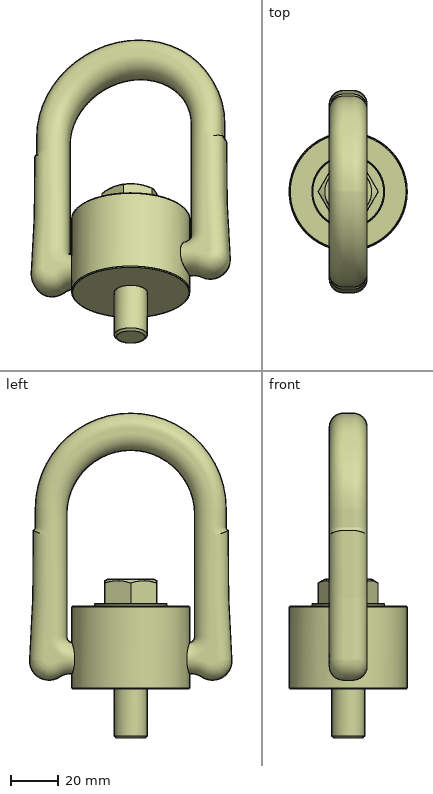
import cadquery as cq
import math

total_height = 137.2

body_radius = 25.0
body_height = 35.0
body_top_chamfer = 0.5
body_bottom_chamfer = 0.4

stud_radius = 7.0
stud_length = 20.9
stud_chamfer = 1.0
washer_radius = 15.4
washer_height = 1.1
washer_chamfer = 0.4
head_flats = 22.0
head_height = 10.2
head_top_radius = 9.9
head_chamfer_angle = math.radians(30)
socket_flats = 10.0
socket_depth = 4.5

ring_width = 16.0
ring_span = 85.5
outer_rounding = 6.0
inner_rounding = 6.9
outer_radius = 40.3
inner_radius = 26.9
ring_top_z = total_height - stud_length
outer_centre_z = ring_top_z - outer_radius
inner_centre_z = 73.7

flare_height = 1.4
leg_top_y = 41.2
leg_top_z = 66.8
knee_z = 38.4
leg_lean = math.radians(2.9)

heel_radius = 8.2
heel_y = ring_span / 2 - heel_radius
heel_z = 11.8
arm_top_z = 19.5
arm_bottom_z = 6.3
arm_end_y = 16.5
crook_radius = 2.5
sole_radius = 8.6

margin = 0.1


def hexagon(flats, height, base_z):
    """Hexagonal prism with two corners on the X axis."""
    corners = flats / math.cos(math.radians(30))
    return cq.Workplane("XY").workplane(offset=base_z).polygon(6, corners).extrude(height)


def make_body():
    drum = cq.Workplane("XY").circle(body_radius).extrude(body_height)
    return drum.faces(">Z").chamfer(body_top_chamfer).faces("<Z").chamfer(body_bottom_chamfer)


def make_bolt():
    stud = cq.Workplane("XY").circle(stud_radius).extrude(-stud_length)
    stud = stud.faces("<Z").chamfer(stud_chamfer)

    washer = cq.Workplane("XY").workplane(offset=body_height).circle(washer_radius).extrude(washer_height)
    washer = washer.faces(">Z").chamfer(washer_chamfer)

    head_base = body_height + washer_height
    head_top = head_base + head_height
    head = hexagon(head_flats, head_height, head_base)
    cone_radius = head_top_radius + head_height / math.tan(head_chamfer_angle)
    cone = (
        cq.Workplane("XZ")
        .polyline([(0, head_base), (cone_radius, head_base), (head_top_radius, head_top), (0, head_top)])
        .close()
        .revolve(360, (0, 0, 0), (0, 1, 0))
    )
    head = head.intersect(cone).cut(hexagon(socket_flats, socket_depth, head_top - socket_depth))
    return stud.union(washer).union(head)


def point_on_circle(centre, radius, angle):
    return (centre[0] + radius * math.cos(angle), centre[1] + radius * math.sin(angle))


def half_ring_outline():
    """Closed YZ outline of the ring on the +Y side."""
    heel_centre = (heel_y, heel_z)
    heel_start = point_on_circle(heel_centre, heel_radius, leg_lean)
    knee_y = heel_start[0] - (knee_z - heel_start[1]) * math.tan(leg_lean)

    sole_centre_z = arm_bottom_z - sole_radius
    centre_distance = heel_radius + sole_radius
    sole_angle = math.asin((heel_z - sole_centre_z) / centre_distance)
    sole_centre = (heel_y - centre_distance * math.cos(sole_angle), sole_centre_z)
    heel_end = point_on_circle(sole_centre, sole_radius, sole_angle)
    sole_end = (sole_centre[0], arm_bottom_z)

    return (
        cq.Workplane("YZ")
        .moveTo(0, ring_top_z)
        .threePointArc(
            point_on_circle((0, outer_centre_z), outer_radius, math.pi / 4),
            (outer_radius, outer_centre_z),
        )
        .lineTo(outer_radius, leg_top_z + flare_height)
        .tangentArcPoint((leg_top_y, leg_top_z), relative=False)
        .lineTo(knee_y, knee_z)
        .lineTo(*heel_start)
        .tangentArcPoint(heel_end, relative=False)
        .tangentArcPoint(sole_end, relative=False)
        .lineTo(arm_end_y, arm_bottom_z)
        .lineTo(arm_end_y, arm_top_z)
        .lineTo(inner_radius - crook_radius, arm_top_z)
        .tangentArcPoint((inner_radius, arm_top_z + crook_radius), relative=False)
        .lineTo(inner_radius, inner_centre_z)
        .tangentArcPoint((0, inner_centre_z + inner_radius), relative=False)
        .close()
    )


def is_end_edge(point):
    """True on the crown's middle plane and on the arm's end face."""
    return point.y < margin or abs(point.y - arm_end_y) < margin


def is_inner_edge(point):
    return point.y < inner_radius + margin and point.z > arm_top_z - margin


def make_half_ring():
    half = half_ring_outline().extrude(ring_width / 2, both=True)
    for radius, inner in ((outer_rounding, False), (inner_rounding, True)):
        edges = []
        for edge in half.faces("<X or >X").edges().vals():
            middle = edge.positionAt(0.5)
            if not is_end_edge(middle) and is_inner_edge(middle) == inner:
                edges.append(edge)
        half = half.newObject(edges).fillet(radius)
    return half


half_ring = make_half_ring()
ring = half_ring.union(half_ring.mirror("XZ"), clean=False)
result = make_body().union(make_bolt()).union(ring, clean=False)